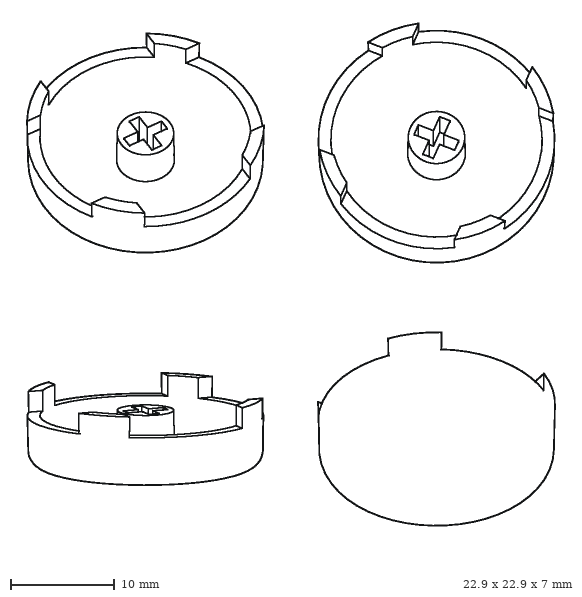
import cadquery as cq

rim_diameter = 22.88
base_diameter = 22.7
inner_diameter = 20.43
rim_height = 4.96
floor_height = 1.6
bottom_round = 1.6
floor_round = 0.5

total_height = 7.0
tab_gap_x = 12.2
tab_gap_y = 11.9
tab_height = total_height - rim_height
tab_top_diameter = rim_diameter + (rim_diameter - base_diameter) * tab_height / rim_height

stem_top_diameter = 5.47
stem_base_diameter = 5.6
stem_top = 5.5
cross_length = 4.25
cross_width = 1.1
cross_depth = stem_top - floor_height


def tapered_cylinder(bottom_diameter, top_diameter, bottom, top):
    return (
        cq.Workplane("XY", origin=(0, 0, bottom))
        .circle(bottom_diameter / 2)
        .workplane(offset=top - bottom)
        .circle(top_diameter / 2)
        .loft(ruled=True)
    )


def make_cup():
    """Full-height cup with a rounded bottom and a round around the floor."""
    body = tapered_cylinder(base_diameter, tab_top_diameter, 0, total_height)
    body = body.faces("<Z").edges().fillet(bottom_round)
    cavity = (
        cq.Workplane("XY", origin=(0, 0, floor_height))
        .circle(inner_diameter / 2)
        .extrude(total_height - floor_height)
        .faces("<Z")
        .edges()
        .fillet(floor_round)
    )
    return body.cut(cavity)


def cut_tab_gaps(cup):
    """Two crossing passages lower the wall to the rim, leaving one tab per quadrant."""
    passage_length = 2 * rim_diameter
    for gap_x, gap_y in ((tab_gap_x, passage_length), (passage_length, tab_gap_y)):
        passage = (
            cq.Workplane("XY", origin=(0, 0, rim_height))
            .rect(gap_x, gap_y)
            .extrude(tab_height)
        )
        cup = cup.cut(passage)
    return cup


def make_stem():
    stem = tapered_cylinder(stem_base_diameter, stem_top_diameter, floor_height, stem_top)
    for length_x, length_y in ((cross_length, cross_width), (cross_width, cross_length)):
        slot = (
            cq.Workplane("XY", origin=(0, 0, stem_top))
            .rect(length_x, length_y)
            .extrude(-cross_depth)
        )
        stem = stem.cut(slot)
    return stem


result = cut_tab_gaps(make_cup()).union(make_stem())